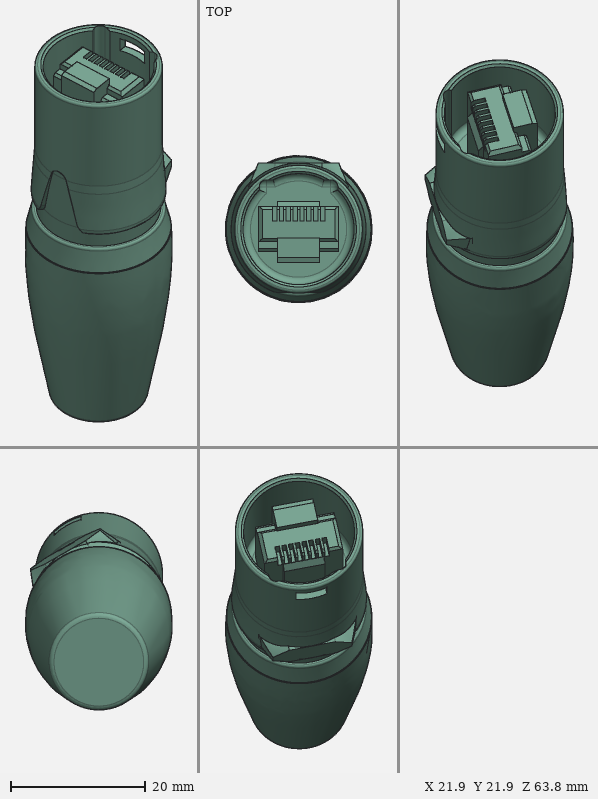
import cadquery as cq
import math

total_height = 63.82

boot_top_z = 32.3
boot_max_radius = 10.955
boot_max_z = 28.0
boot_top_radius = 10.84
boot_waist_z = 14.0
boot_waist_radius = 9.75
boot_base_radius = 7.3
boot_end_fillet = 0.75

collar_top_z = 36.3
collar_top_radius = 10.0
collar_base_radius = 10.82
collar_rim_round = 0.4
joint_chamfer = 0.1

neck_radius = 9.3
shell_radius = 9.5
shell_rim_fillet = 0.42
mouth_edge_chamfer = 0.35
skirt_start_z = 48.15
skirt_bend_z = 46.65
skirt_bend_radius = 9.6
skirt_end_z = 39.9
skirt_end_radius = 10.04
skirt_lip_z = 39.3
skirt_foot_z = 38.6

window_apex_z = 48.2
window_bend_z = 39.5
window_top_radius = 9.38
window_half_width = 2.85
window_foot_z = 38.0
window_base_z = 36.5
window_tip_round = 0.15
window_foot_round = 3.2
window_inner_depth = 7.6
window_flank_draft = 36.0

mouth_radius = 8.26
mouth_depth = 14.0
mouth_fillet = 1.1
key_half_width = 5.85
key_reach = 7.35
latch_hole_width = 4.7
latch_hole_bottom_z = 60.1
latch_hole_top_z = 62.4

button_face_y = 9.86
button_depth = 3.6
button_centre_z = 41.3
button_half_width = 6.0
button_flat_half_width = 3.5
button_height = 4.2
button_end_height = 1.2
button_root_half_width = 7.45
button_root_end_height = 3.5

plug_half_width = 5.95
plug_back_y = 3.35
plug_step_y = -1.8
plug_front_y = -3.3
plug_top_z = 62.4
plug_step_z = 61.0
plug_side_chamfer = 0.55
plug_edge_chamfer = 0.4
tab_half_width = 3.1
tab_back_y = -1.3
tab_front_y = -4.95
tab_top_z = 63.6
tab_chamfer_width = 0.75
tab_chamfer_height = 0.3
ramp_y = 4.15
ramp_top_z = 60.5
ramp_bottom_z = 59.5
contact_count = 8
contact_pitch = 1.02
contact_slot_width = 0.65
contact_slot_length = 2.15
contact_slot_depth = 2.0

floor_z = total_height - mouth_depth
tube_reach = 2 * shell_radius


def make_boot():
    """Barrel whose smooth side curve is widest below its top and narrows to the cable end."""
    boot = (
        cq.Workplane("XZ")
        .lineTo(boot_base_radius, 0)
        .spline(
            [(boot_waist_radius, boot_waist_z), (boot_max_radius, boot_max_z), (boot_top_radius, boot_top_z)],
            includeCurrent=True,
        )
        .lineTo(0, boot_top_z)
        .close()
        .revolve(360, (0, 0), (0, 1))
    )
    return boot.faces("<Z").edges().fillet(boot_end_fillet).faces(">Z").edges().chamfer(joint_chamfer)


def make_collar():
    """Tapered ring around the housing neck."""
    return (
        cq.Workplane("XZ")
        .moveTo(neck_radius, boot_top_z)
        .lineTo(collar_base_radius - joint_chamfer, boot_top_z)
        .lineTo(collar_base_radius, boot_top_z + joint_chamfer)
        .lineTo(collar_top_radius, collar_top_z - collar_rim_round)
        .radiusArc((collar_top_radius - collar_rim_round, collar_top_z), -collar_rim_round)
        .lineTo(neck_radius, collar_top_z)
        .close()
        .revolve(360, (0, 0), (0, 1))
    )


def button_outline(end_half_width, end_height):
    """Corners of a long hexagon that is tallest along its middle."""
    upper = [(end_half_width, end_height / 2), (button_flat_half_width, button_height / 2)]
    upper += [(-x, z) for x, z in reversed(upper)]
    return upper + [(x, -z) for x, z in reversed(upper)]


def make_button():
    """Block with hexagonal faces whose ends spread and grow taller towards the axis."""
    return (
        cq.Workplane("XZ", origin=(0, button_face_y, button_centre_z))
        .polyline(button_outline(button_half_width, button_end_height))
        .close()
        .workplane(offset=button_depth)
        .polyline(button_outline(button_root_half_width, button_root_end_height))
        .close()
        .loft(ruled=True)
    )


def make_front_window():
    """V shaped piece of the skirt to remove: everything outside the neck surface."""
    wall = (
        cq.Workplane("XZ")
        .moveTo(neck_radius, skirt_foot_z)
        .lineTo(neck_radius, window_bend_z)
        .lineTo(window_top_radius, skirt_start_z)
        .lineTo(window_top_radius, total_height)
        .lineTo(tube_reach, total_height)
        .lineTo(tube_reach, skirt_foot_z)
        .close()
        .revolve(360, (0, 0), (0, 1))
    )
    flank_angle = math.atan2(window_half_width, window_apex_z - window_foot_z)
    tip_centre_z = window_apex_z - window_tip_round / math.sin(flank_angle)
    tip_side_x = window_tip_round * math.cos(flank_angle)
    tip_side_z = tip_centre_z + window_tip_round * math.sin(flank_angle)
    foot_tangent = window_foot_round * math.tan((math.pi / 2 - flank_angle) / 2)
    foot_side_x = window_half_width - foot_tangent * math.sin(flank_angle)
    foot_side_z = window_foot_z + foot_tangent * math.cos(flank_angle)
    foot_end_x = window_half_width + foot_tangent
    outline = (
        cq.Workplane("XZ", origin=(0, -window_inner_depth, 0))
        .moveTo(foot_end_x, window_foot_z)
        .radiusArc((foot_side_x, foot_side_z), window_foot_round)
        .lineTo(tip_side_x, tip_side_z)
        .threePointArc((0, tip_centre_z + window_tip_round), (-tip_side_x, tip_side_z))
        .lineTo(-foot_side_x, foot_side_z)
        .radiusArc((-foot_end_x, window_foot_z), window_foot_round)
        .lineTo(-foot_end_x, window_base_z)
        .lineTo(foot_end_x, window_base_z)
        .close()
        .extrude(skirt_end_radius - window_inner_depth, taper=-window_flank_draft)
    )
    return wall.intersect(outline)


def make_mouth():
    """Round mouth with a keyed widening at the back, rounded at its floor and flared at its rim."""
    key = (
        cq.Workplane("XY", origin=(0, key_reach / 2, floor_z))
        .rect(2 * key_half_width, key_reach)
        .extrude(mouth_depth)
        .edges("|Z and >Y")
        .fillet(mouth_fillet)
    )
    mouth = cq.Workplane("XY", origin=(0, 0, floor_z)).circle(mouth_radius).extrude(mouth_depth).union(key)
    mouth = mouth.faces("<Z").edges().fillet(mouth_fillet)
    flare = (
        cq.Workplane("XY", origin=(0, 0, total_height))
        .circle(mouth_radius + mouth_edge_chamfer)
        .workplane(offset=-mouth_edge_chamfer)
        .circle(mouth_radius)
        .loft()
    )
    return mouth.union(flare)


def make_housing(button):
    """Shell with a flared skirt, cut for the mouth, the latch, the front window and the button."""
    housing = (
        cq.Workplane("XZ")
        .moveTo(0, boot_top_z)
        .lineTo(neck_radius, boot_top_z)
        .lineTo(neck_radius, skirt_foot_z)
        .lineTo(skirt_end_radius, skirt_lip_z)
        .lineTo(skirt_end_radius, skirt_end_z)
        .lineTo(skirt_bend_radius, skirt_bend_z)
        .lineTo(shell_radius, skirt_start_z)
        .lineTo(shell_radius, total_height)
        .lineTo(0, total_height)
        .close()
        .revolve(360, (0, 0), (0, 1))
    )
    housing = housing.faces(">Z").edges().fillet(shell_rim_fillet)
    housing = housing.cut(make_front_window())
    housing = housing.cut(make_mouth())

    latch_hole = (
        cq.Workplane("XZ")
        .center(0, (latch_hole_bottom_z + latch_hole_top_z) / 2)
        .rect(latch_hole_width, latch_hole_top_z - latch_hole_bottom_z)
        .extrude(-tube_reach)
    )

    back_flat = cq.Workplane("XY", origin=(0, button_face_y + tube_reach / 2, skirt_foot_z))
    back_flat = back_flat.rect(2 * tube_reach, tube_reach).extrude(skirt_start_z - skirt_foot_z)
    return housing.cut(latch_hole).cut(back_flat).cut(button)


def block(half_width, front_y, back_y, top_z):
    """Box standing on the floor of the mouth, centred on x = 0."""
    return (
        cq.Workplane("XY", origin=(0, (front_y + back_y) / 2, floor_z))
        .rect(2 * half_width, back_y - front_y)
        .extrude(top_z - floor_z)
    )


def make_plug():
    """Stepped plug with a latch tab, a ramp at the back and a row of contact slots."""
    upper = block(plug_half_width, plug_step_y, plug_back_y, plug_top_z)
    upper = upper.faces(">Z").edges("|Y").chamfer(plug_side_chamfer)
    upper = upper.faces(">Z").edges("|X").chamfer(plug_edge_chamfer)
    step = block(plug_half_width, plug_front_y, plug_step_y, plug_step_z)
    step = step.edges(">Z and <Y").chamfer(plug_edge_chamfer)
    tab = block(tab_half_width, tab_front_y, tab_back_y, tab_top_z)
    tab = tab.edges(">Z and <Y").chamfer(tab_chamfer_height, tab_chamfer_width)
    ramp = (
        cq.Workplane("YZ", origin=(-tab_half_width, 0, 0))
        .polyline([(0, floor_z), (ramp_y, floor_z), (ramp_y, ramp_bottom_z),
                   (plug_back_y, ramp_top_z), (0, ramp_top_z)])
        .close()
        .extrude(2 * tab_half_width)
    )
    plug = upper.union(step).union(tab).union(ramp)
    for index in range(contact_count):
        slot_x = (index - (contact_count - 1) / 2) * contact_pitch
        slot = cq.Workplane("XY").box(contact_slot_width, contact_slot_length, contact_slot_depth)
        slot_centre = (slot_x, plug_back_y - contact_slot_length / 2, plug_top_z - contact_slot_depth / 2)
        plug = plug.cut(slot.translate(slot_centre))
    return plug


boot = make_boot()
collar = make_collar()
button = make_button()
housing = make_housing(button)
plug = make_plug()

result = cq.Compound.makeCompound([boot.val(), collar.val(), housing.val(), button.val(), plug.val()])